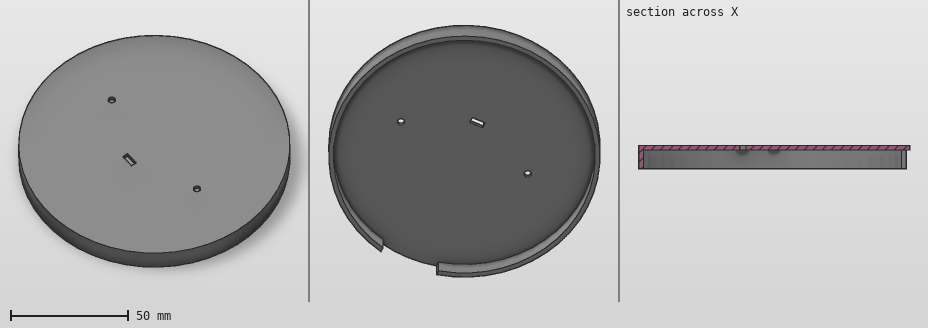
import cadquery as cq

outer_diameter = 115.0
total_height = 10.0

plate_thickness = 2.0
rim_thickness = 2.0
rim_height = total_height - plate_thickness
inner_diameter = outer_diameter - 2 * rim_thickness

rim_gap_width = 26.0

screw_hole_diameter = 3.0
screw_hole_spacing = 59.2

slot_length = 6.0
slot_width = 2.5
slot_center_y = -13.28


def make_shell():
    """Round cover, hollow below the top plate."""
    body = cq.Workplane("XY").circle(outer_diameter / 2).extrude(total_height)
    cavity = cq.Workplane("XY").circle(inner_diameter / 2).extrude(rim_height)
    return body.cut(cavity)


def make_rim_gap():
    """Block that removes the rim on the +Y side, up to the plate."""
    return cq.Workplane("XY").box(
        rim_gap_width, outer_diameter / 2, rim_height, centered=(True, False, False)
    )


def make_screw_holes():
    """Pair of cylinders that pierce the plate."""
    half_spacing = screw_hole_spacing / 2
    return (
        cq.Workplane("XY")
        .pushPoints([(-half_spacing, 0), (half_spacing, 0)])
        .circle(screw_hole_diameter / 2)
        .extrude(total_height)
    )


def make_slot():
    """Rectangular bar that pierces the plate."""
    return (
        cq.Workplane("XY")
        .center(0, slot_center_y)
        .rect(slot_length, slot_width)
        .extrude(total_height)
    )


result = make_shell().cut(make_rim_gap()).cut(make_screw_holes()).cut(make_slot())